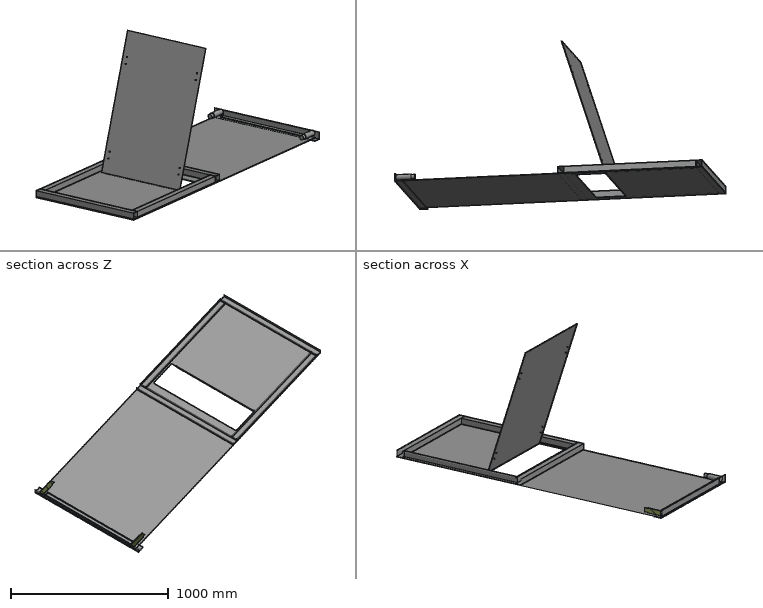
import cadquery as cq
import math

overall_length = 1985.0
front_y = -overall_length / 2
rear_y = overall_length / 2

angle_length = 815.0
angle_leg = 50.0
angle_thickness = 4.0

sheet_width = 760.0
sheet_thickness = 5.0
sheet_rear_y = rear_y - angle_thickness
sheet_top_z = angle_thickness + sheet_thickness

window_width = 650.0
window_front_y = -357.0
window_length = 195.0
window_corner_radius = 12.0

tube_side = 44.0
tube_wall = 3.0
tube_corner_radius = 2.0
frame_length = 937.0

flap_width = 610.0
flap_thickness = 5.0
flap_left_x = -window_width / 2
flap_tilt = 18.0
flap_top_z = 881.0
flap_length = (flap_top_z - sheet_top_z) / math.cos(math.radians(flap_tilt))

flap_hole_diameter = 6.7
flap_hole_edge_distance = 32.0
flap_hole_pair_spacing = 44.0
flap_lower_pair_height = 95.0
flap_upper_pair_height = 706.0

inner_angle_length = 670.0
inner_angle_depth = 35.0
inner_angle_thickness = 5.0

spigot_body_diameter = 35.0
spigot_body_length = 95.0
spigot_tip_diameter = 30.0
spigot_tip_length = 24.0
spigot_x = 357.0
spigot_z = sheet_top_z + tube_side - spigot_body_diameter / 2


def box(width, depth, height, y=0.0, z=0.0):
    """Box centred on X, with its front face at y and its underside at z."""
    block = cq.Workplane("XY").box(width, depth, height, centered=(True, False, False))
    return block.translate((0, y, z))


def angle_profile_bar(length, depth, height, thickness, back_y, bottom_z):
    """L-shaped bar along X, with its upright leg at the back and its other leg at the bottom."""
    bottom_leg = box(length, depth, thickness, back_y - depth, bottom_z)
    upright_leg = box(length, thickness, height, back_y - thickness, bottom_z)
    return bottom_leg.union(upright_leg)


def make_rear_angle():
    return angle_profile_bar(angle_length, angle_leg, angle_leg, angle_thickness, rear_y, 0)


def make_inner_angle():
    height = angle_leg - sheet_top_z
    return angle_profile_bar(
        inner_angle_length, inner_angle_depth, height, inner_angle_thickness, sheet_rear_y, sheet_top_z
    )


def make_sheet():
    sheet = box(sheet_width, sheet_rear_y - front_y, sheet_thickness, front_y, angle_thickness)
    window = box(window_width, window_length, sheet_thickness, window_front_y, angle_thickness)
    window = window.edges("|Z and >Y").fillet(window_corner_radius)
    return sheet.cut(window)


def square_tube(length):
    """Open-ended square tube along X, centred on X and Y, with its underside at Z = 0."""
    inner_side = tube_side - 2 * tube_wall
    outer = box(length, tube_side, tube_side, -tube_side / 2)
    outer = outer.edges("|X").fillet(tube_corner_radius)
    bore = box(length, inner_side, inner_side, -inner_side / 2, tube_wall)
    return outer.cut(bore)


def make_cross_tube(centre_y):
    return square_tube(sheet_width).translate((0, centre_y, sheet_top_z))


def make_side_tube(centre_x):
    rail = square_tube(frame_length - 2 * tube_side)
    rail = rail.rotate((0, 0, 0), (0, 0, 1), 90)
    return rail.translate((centre_x, front_y + frame_length / 2, sheet_top_z))


def make_flap():
    """Flap built upright, then tilted back about its lower front edge."""
    centre_x = flap_left_x + flap_width / 2
    flap = box(flap_width, flap_thickness, flap_length)
    hole_x = flap_width / 2 - flap_hole_edge_distance
    hole_centres = [
        (x, pair_height + step)
        for x in (-hole_x, hole_x)
        for pair_height in (flap_lower_pair_height, flap_upper_pair_height)
        for step in (0, flap_hole_pair_spacing)
    ]
    holes = cq.Workplane("XZ").pushPoints(hole_centres).circle(flap_hole_diameter / 2)
    flap = flap.cut(holes.extrude(-flap_thickness))
    flap = flap.rotate((0, 0, 0), (1, 0, 0), -flap_tilt)
    return flap.translate((centre_x, window_front_y, sheet_top_z))


def make_spigot(centre_x):
    spigot = cq.Workplane("XZ").circle(spigot_body_diameter / 2).extrude(spigot_body_length)
    tip = spigot.faces("<Y").workplane().circle(spigot_tip_diameter / 2)
    return tip.extrude(spigot_tip_length).translate((centre_x, sheet_rear_y, spigot_z))


rear_angle = make_rear_angle()
inner_angle = make_inner_angle()
sheet = make_sheet()
flap = make_flap()

front_tube_y = front_y + tube_side / 2
rear_tube_y = front_y + frame_length - tube_side / 2
cross_tubes = [make_cross_tube(y) for y in (front_tube_y, rear_tube_y)]

side_tube_x = (sheet_width - tube_side) / 2
side_tubes = [make_side_tube(x) for x in (-side_tube_x, side_tube_x)]

spigots = [make_spigot(x) for x in (-spigot_x, spigot_x)]

bodies = [rear_angle, inner_angle, sheet, flap, *cross_tubes, *side_tubes, *spigots]
result = cq.Compound.makeCompound([body.val() for body in bodies])